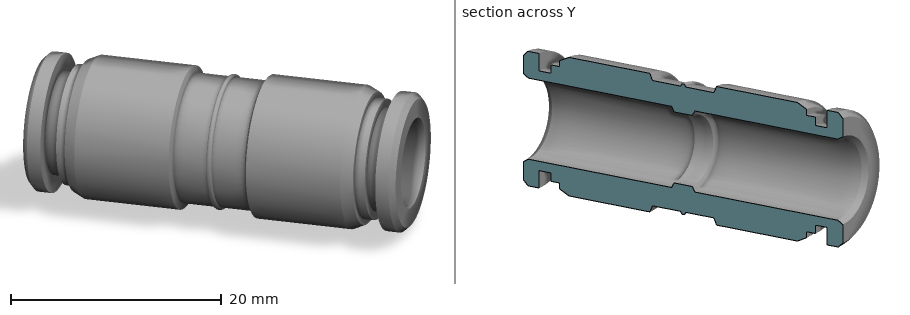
import cadquery as cq
import math


length = 36.7
flange_end = 1.85
neck_end = 3.15
sleeve_end = 4.15
body_taper_end = 5.25
body_end = 14.54
waist_start = 14.84

flange_radius = 6.7
neck_radius = 4.97
sleeve_radius = 5.8
body_radius = 6.9
body_nose_radius = 6.38
waist_radius = 6.24
flange_chamfer = 0.53
bead_radius = 0.27

tube_radius = 4.0
through_radius = 3.5
mouth_chamfer_depth = 0.6
mouth_chamfer_angle = 30
mouth_chamfer_width = mouth_chamfer_depth * math.tan(math.radians(mouth_chamfer_angle))
tube_stop_depth = 17.0
stop_taper_angle = 60
stop_taper_length = (tube_radius - through_radius) / math.tan(math.radians(stop_taper_angle))

half_length = length / 2


def half_union():
    """Revolve the -X half of the wall section about the X axis."""

    def point(depth, radius):
        return (depth - half_length, radius)

    bead_diagonal = bead_radius * math.sqrt(0.5)
    bead_arc_middle = (-bead_diagonal, waist_radius + bead_diagonal)
    bead_crest = (0, waist_radius + bead_radius)

    section = (
        cq.Workplane("XY")
        .moveTo(*point(0, tube_radius + mouth_chamfer_width))
        .lineTo(*point(0, flange_radius - flange_chamfer))
        .lineTo(*point(flange_chamfer, flange_radius))
        .lineTo(*point(flange_end, flange_radius))
        .lineTo(*point(flange_end, neck_radius))
        .lineTo(*point(neck_end, neck_radius))
        .lineTo(*point(neck_end, sleeve_radius))
        .lineTo(*point(sleeve_end, sleeve_radius))
        .lineTo(*point(sleeve_end, body_nose_radius))
        .lineTo(*point(body_taper_end, body_radius))
        .lineTo(*point(body_end, body_radius))
        .lineTo(*point(waist_start, waist_radius))
        .lineTo(-bead_radius, waist_radius)
        .threePointArc(bead_arc_middle, bead_crest)
        .lineTo(0, through_radius)
        .lineTo(*point(tube_stop_depth + stop_taper_length, through_radius))
        .lineTo(*point(tube_stop_depth, tube_radius))
        .lineTo(*point(mouth_chamfer_depth, tube_radius))
        .close()
    )
    return section.revolve(360, (0, 0, 0), (1, 0, 0))


left_half = half_union()
right_half = left_half.mirror("YZ")
result = left_half.union(right_half)